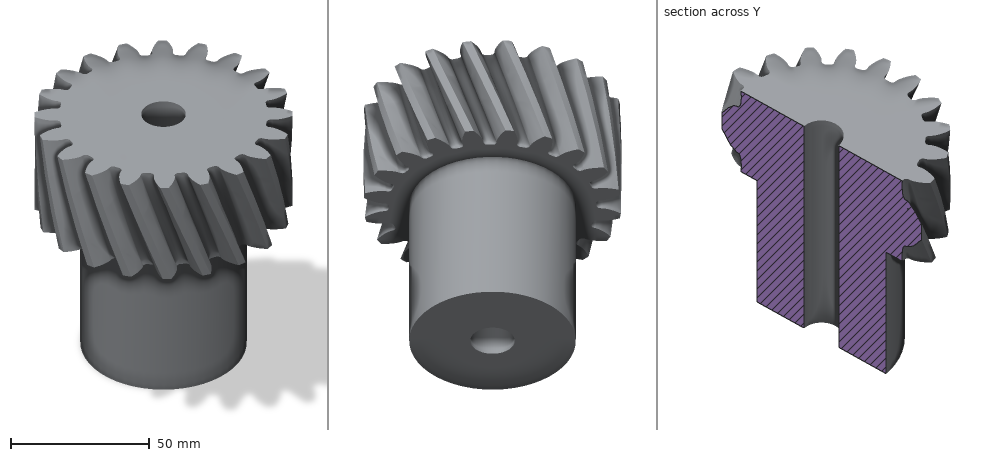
import cadquery as cq
import math

TOTAL_HEIGHT = 100.0
FACE_WIDTH = 40.0
SHANK_DIAMETER = 60.0
BORE_DIAMETER = 16.0
SHANK_HEIGHT = TOTAL_HEIGHT - FACE_WIDTH

TEETH = 20
NORMAL_MODULE = 4.0
RACK_PITCH = 40.0 / 3.0
NORMAL_PRESSURE_ANGLE = math.radians(20.0)
ROOT_CLEARANCE = 0.25
ROOT_FILLET_RADIUS = 1.5
FLANK_STEPS = 6
TIP_OVERSHOOT = 1.0

HELIX_ANGLE = math.acos(math.pi * NORMAL_MODULE / RACK_PITCH)
PRESSURE_ANGLE = math.atan(math.tan(NORMAL_PRESSURE_ANGLE) / math.cos(HELIX_ANGLE))
PITCH_RADIUS = TEETH * RACK_PITCH / (2 * math.pi)
BASE_RADIUS = PITCH_RADIUS * math.cos(PRESSURE_ANGLE)
TIP_RADIUS = PITCH_RADIUS + NORMAL_MODULE
ROOT_RADIUS = PITCH_RADIUS - (1 + ROOT_CLEARANCE) * NORMAL_MODULE
TOOTH_ANGLE = 2 * math.pi / TEETH
TWIST = FACE_WIDTH * math.tan(HELIX_ANGLE) / PITCH_RADIUS


def polar(radius, angle):
    return (radius * math.cos(angle), radius * math.sin(angle))


def involute_angle(radius):
    """Polar angle of the base-circle involute at the given radius."""
    roll = math.acos(BASE_RADIUS / radius)
    return math.tan(roll) - roll


def half_tooth_angle(radius):
    """Half the angle a tooth spans at the given radius."""
    return TOOTH_ANGLE / 4 + involute_angle(PITCH_RADIUS) - involute_angle(radius)


def gap_cutter():
    """Twisted solid filling the gap between two teeth, centred on +X at mid-face."""
    step = (TIP_RADIUS + TIP_OVERSHOOT - BASE_RADIUS) / FLANK_STEPS
    flank_radii = [BASE_RADIUS + step * i for i in range(FLANK_STEPS + 1)]
    flank = [(radius, TOOTH_ANGLE / 2 - half_tooth_angle(radius)) for radius in flank_radii]
    upper = [polar(radius, angle) for radius, angle in flank]
    lower = [polar(radius, -angle) for radius, angle in flank]

    wall_angle = flank[0][1]
    corner_radius = ROOT_RADIUS + ROOT_FILLET_RADIUS
    floor_angle = wall_angle - math.asin(ROOT_FILLET_RADIUS / corner_radius)
    wall_foot_radius = math.sqrt(corner_radius ** 2 - ROOT_FILLET_RADIUS ** 2)
    corner_x, corner_y = polar(corner_radius, floor_angle)

    mid_direction = (floor_angle + math.pi + wall_angle + math.pi / 2) / 2
    offset_x, offset_y = polar(ROOT_FILLET_RADIUS, mid_direction)
    fillet_x = corner_x + offset_x
    fillet_y = corner_y + offset_y

    outline = (
        cq.Workplane("XY")
        .moveTo(*polar(ROOT_RADIUS, -floor_angle))
        .threePointArc((ROOT_RADIUS, 0), polar(ROOT_RADIUS, floor_angle))
        .threePointArc((fillet_x, fillet_y), polar(wall_foot_radius, wall_angle))
        .lineTo(*upper[0])
        .spline(upper[1:], includeCurrent=True)
        .lineTo(*lower[-1])
        .spline(lower[-2::-1], includeCurrent=True)
        .lineTo(*polar(wall_foot_radius, -wall_angle))
        .threePointArc((fillet_x, -fillet_y), polar(ROOT_RADIUS, -floor_angle))
        .close()
    )
    cutter = outline.twistExtrude(FACE_WIDTH, -math.degrees(TWIST))
    return cutter.rotate((0, 0, 0), (0, 0, 1), math.degrees(TWIST / 2))


def gear():
    """Helical gear on Z = 0 with a tooth centred on +X at mid-face."""
    cutter = gap_cutter()
    body = cq.Workplane("XY").circle(TIP_RADIUS).extrude(FACE_WIDTH)
    for i in range(TEETH):
        turn = math.degrees(TOOTH_ANGLE * (i + 0.5))
        body = body.cut(cutter.rotate((0, 0, 0), (0, 0, 1), turn))
    return body


shank = cq.Workplane("XY").circle(SHANK_DIAMETER / 2).extrude(SHANK_HEIGHT)
bore = cq.Workplane("XY").circle(BORE_DIAMETER / 2).extrude(TOTAL_HEIGHT)

result = shank.union(gear().translate((0, 0, SHANK_HEIGHT))).cut(bore)